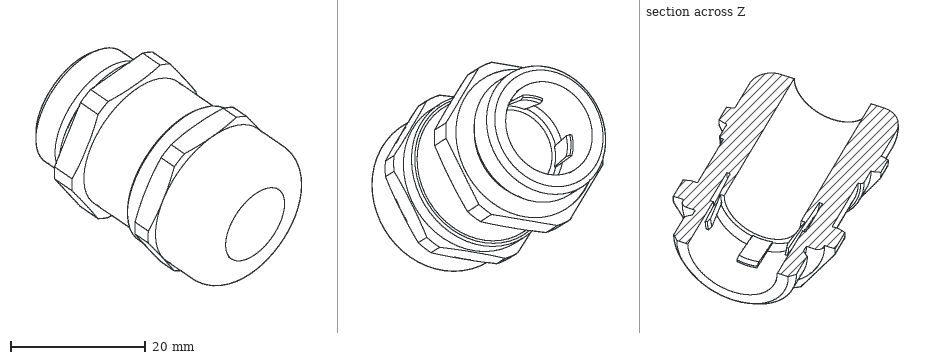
import cadquery as cq
import math


length = 37.0
thread_chamfer = 0.92
thread_end = 4.95
neck_start = 5.75
washer_start = 6.7
body_hex_start = 7.95
body_hex_end = 12.0
collar_start = 21.5
cap_hex_start = 24.5
cap_hex_end = 27.97

neck_dia = 18.15
thread_dia = 20.0
washer_dia = 23.0
body_dia = 22.0
collar_dia = 23.55
cap_dia = 23.98

washer_round = 1.0
collar_chamfer = 0.37
cap_round = 3.6

hex_flats = 24.0
hex_corner_dia = 26.4
hex_face_dia = 24.2
hex_bevel_length = 0.35

bore_dia = 14.55
chamber_dia = 15.55
chamber_start = 9.45
chamber_end = 15.55

through_dia = 12.5
insert_face = 11.1
insert_base_dia = 14.58
tab_start = 5.3
tab_tip_outer_dia = 13.58
tab_tip_inner_dia = 12.88
tab_bevel_length = 0.8
tab_root_inner_dia = 13.7
tab_width = 3.25
tab_count = 4


def turned(points):
    """Solid of revolution about X from (x, radius) points, closed along the axis."""
    return (
        cq.Workplane("XY")
        .polyline([(points[0][0], 0)] + points + [(points[-1][0], 0)])
        .close()
        .revolve(360, (0, 0, 0), (1, 0, 0))
    )


def cylinder(start, end, dia):
    return turned([(start, dia / 2), (end, dia / 2)])


def threaded_end():
    return turned([
        (0, neck_dia / 2),
        (thread_chamfer, thread_dia / 2),
        (thread_end, thread_dia / 2),
        (neck_start, neck_dia / 2),
        (washer_start, neck_dia / 2),
    ])


def washer():
    return cylinder(washer_start, body_hex_start, washer_dia).faces("<X").edges().fillet(washer_round)


def collar():
    return cylinder(collar_start, cap_hex_start, collar_dia).faces("<X").edges().chamfer(collar_chamfer)


def domed_cap():
    return cylinder(cap_hex_start, length, cap_dia).faces(">X").edges().fillet(cap_round)


def hexagon(start, end, bevel_start):
    """Hexagon with bevelled corners on its +X face and, if asked, on its -X face."""
    prism = (
        cq.Workplane("YZ", origin=(start, 0, 0))
        .polygon(6, hex_flats / math.cos(math.pi / 6))
        .extrude(end - start)
    )
    face_radius = hex_face_dia / 2
    corner_radius = hex_corner_dia / 2
    envelope = [(start, corner_radius)]
    if bevel_start:
        envelope = [(start, face_radius), (start + hex_bevel_length, corner_radius)]
    envelope += [(end - hex_bevel_length, corner_radius), (end, face_radius)]
    return prism.intersect(turned(envelope))


def inner_space():
    """Entry bore and chamber, as they are without the insert."""
    return cylinder(0, chamber_end, bore_dia).union(cylinder(chamber_start, chamber_end, chamber_dia))


def tab_opening():
    """Space inside the tabs: bevelled at the tips, tightest behind the bevel, wider at the roots."""
    bevel_end = tab_start + tab_bevel_length
    return turned([
        (tab_start, tab_tip_inner_dia / 2),
        (bevel_end, through_dia / 2),
        (insert_face, tab_root_inner_dia / 2),
    ])


def insert():
    """Conical nose of the insert, reduced to parallel-sided tabs in front of its ring face."""
    nose = turned([(tab_start, tab_tip_outer_dia / 2), (chamber_end, insert_base_dia / 2)])
    tab_bar = cq.Workplane("XY").box(
        chamber_end - tab_start, tab_width, chamber_dia, centered=(False, True, False)
    ).translate((tab_start, 0, 0))
    kept = cylinder(insert_face, chamber_end, chamber_dia)
    for i in range(tab_count):
        kept = kept.union(tab_bar.rotate((0, 0, 0), (1, 0, 0), i * 360 / tab_count))
    return nose.intersect(kept).cut(tab_opening())


result = (
    threaded_end()
    .union(washer())
    .union(hexagon(body_hex_start, body_hex_end, bevel_start=False))
    .union(cylinder(body_hex_end, collar_start, body_dia))
    .union(collar())
    .union(hexagon(cap_hex_start, cap_hex_end, bevel_start=True))
    .union(domed_cap())
    .cut(inner_space())
    .union(insert())
    .cut(cylinder(0, length, through_dia))
)